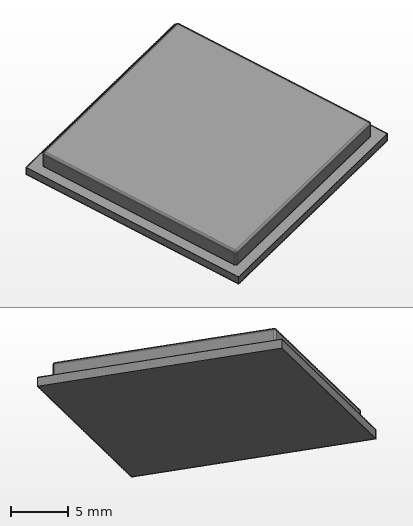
import cadquery as cq

board_length = 23.0
board_width = 22.0
board_thickness = 0.85

overall_height = 2.5
lid_length = 21.0
lid_width = 20.0
lid_height = overall_height - board_thickness
lid_edge_radius = 0.2


def make_board():
    """Flat rectangular board with its underside at Z = 0."""
    return cq.Workplane("XY").box(
        board_length, board_width, board_thickness, centered=(True, True, False)
    )


def make_lid():
    """Rectangular lid with rounded upright corners and a rounded top rim."""
    return (
        cq.Workplane("XY")
        .workplane(offset=board_thickness)
        .box(lid_length, lid_width, lid_height, centered=(True, True, False))
        .edges("|Z or >Z")
        .fillet(lid_edge_radius)
    )


result = make_board().union(make_lid())